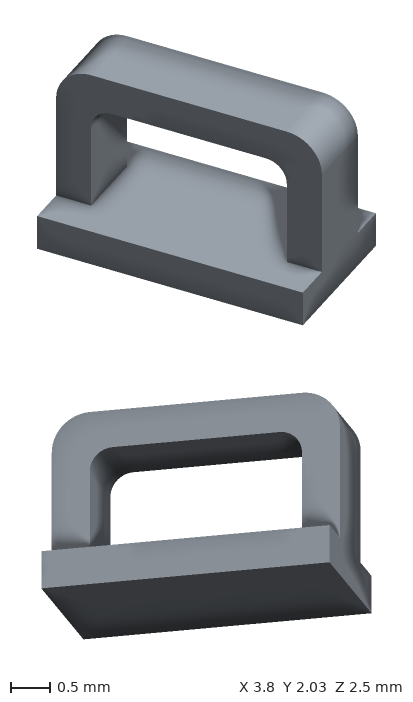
import cadquery as cq

length = 3.8
base_depth = 2.03
base_thickness = 0.5

total_height = 2.5
bar_thickness = 0.5
handle_depth = 1.0
back_ledge = 0.5
outer_radius = 0.5
inner_radius = 0.3

handle_height = total_height - base_thickness
opening_length = length - 2 * bar_thickness
opening_height = handle_height - bar_thickness
handle_center_y = base_depth / 2 - back_ledge - handle_depth / 2


def rounded_block(block_length, height, radius):
    """Block standing on the plate, with its two upper corners rounded."""
    return (
        cq.Workplane("XY", origin=(0, handle_center_y, base_thickness))
        .box(block_length, handle_depth, height, centered=(True, True, False))
        .edges("|Y and >Z")
        .fillet(radius)
    )


base = cq.Workplane("XY").box(length, base_depth, base_thickness, centered=(True, True, False))
outer_block = rounded_block(length, handle_height, outer_radius)
opening = rounded_block(opening_length, opening_height, inner_radius)
handle = outer_block.cut(opening)

result = base.union(handle)